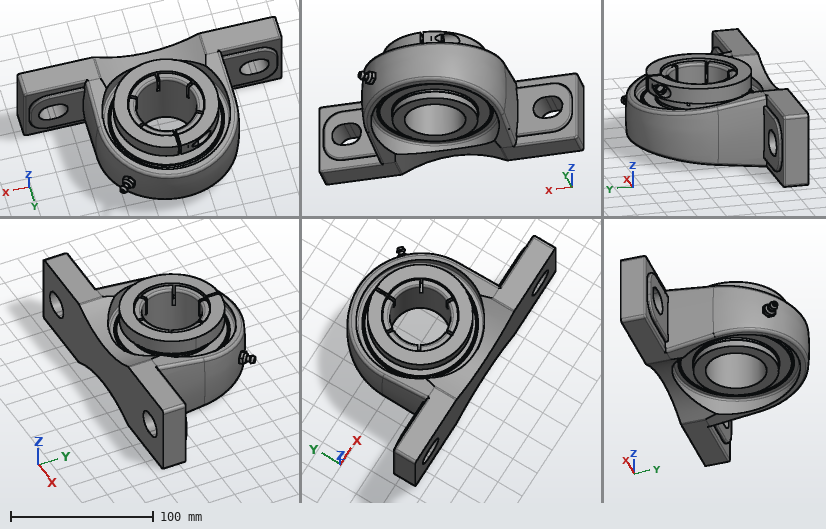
import cadquery as cq
import math


base_length = 188.0
base_width = 53.4
base_height = 18.2
shaft_height = 54.0
base_corner_radius = 2.3
base_rim_fillet = 1.3
pad_length = 180.5
pad_width = 39.1
pad_height = 2.3
pad_corner_radius = 14.3
pad_rim_fillet = 1.1
slot_length = 21.0
slot_width = 17.1
slot_spacing = 146.3
scoop_width = 76.7
scoop_depth = 9.8
scoop_edge_fillet = 2.3

head_radius = 51.5
head_crown_radius = 139.1
head_top_width = 29.5
head_rim_fillet = 2.5
counterbore_radius = 45.03
counterbore_fillet = 1.22
seat_half_width = 11.7

sphere_radius = 42.5
outer_ring_half_width = 12.6
outer_ring_face_radius = 39.9
outer_ring_bore_radius = 39.01
race_land_radius = 30.55
race_land_half_width = 13.5
seal_thickness = 1.9
seal_recess = 0.8
shoulder_radius = 29.99
inner_ring_bottom = -18.6
inner_ring_top = 30.0
shaft_bore_radius = 21.5
shaft_bore_fillet = 1.7
sleeve_radius = 26.5
sleeve_slot_count = 6
sleeve_slot_width = 1.9
sleeve_slot_bottom = 16.2
sleeve_slot_reach = 29.1

collar_bottom = 20.7
collar_top = 31.8
collar_radius = 37.0
collar_bore_radius = 27.0
collar_slit_width = 1.9
screw_y = 31.5
screw_head_diameter = 8.5
screw_head_start = -14.0
screw_head_length = 7.3
screw_shank_diameter = 4.1
screw_shank_length = 17.0
screw_socket_diameter = 5.8
screw_socket_depth = 2.8

fitting_angle = 45.0
fitting_root = 47.0
fitting_hex_start = 51.0
fitting_hex_end = 53.8
fitting_cone_end = 55.6
fitting_neck_end = 58.0
fitting_head_widest = 59.0
fitting_tip = 61.3
fitting_stem_diameter = 6.0
fitting_hex_flats = 8.5
fitting_neck_diameter = 4.1
fitting_head_diameter = 6.0
fitting_tip_diameter = 4.1
fitting_hole_diameter = 2.0
fitting_hole_depth = 1.9

mount_y = -shaft_height
base_top_y = mount_y + base_height
base_half_width = base_width / 2
seat_mouth_radius = math.sqrt(sphere_radius**2 - seat_half_width**2)
screw_z = (collar_bottom + collar_top) / 2


def turned(outline):
    """Solid of revolution about Z from a closed outline in (radius, z)."""
    return outline.close().revolve(360, (0, 0, 0), (0, 1, 0))


def tube(outer_radius, inner_radius, bottom, top):
    ring = cq.Workplane("XY", origin=(0, 0, bottom)).circle(outer_radius)
    return ring.circle(inner_radius).extrude(top - bottom)


def rod_x(diameter, start, length):
    """Cylinder on the clamp screw axis, running along +X."""
    return cq.Workplane("YZ", origin=(start, screw_y, screw_z)).circle(diameter / 2).extrude(length)


def upright_block(length, width, bottom_y, height, corner_radius, rim_fillet):
    """Rounded block standing on a plane of constant Y, with its top rim filleted."""
    block = cq.Workplane("XZ", origin=(0, bottom_y, 0)).rect(length, width).extrude(-height)
    block = block.edges("|Y").fillet(corner_radius)
    return block.faces(">Y").edges().fillet(rim_fillet)


def housing_head():
    """Dome and side walls with one crowned profile, narrowed by a wedge toward the top."""
    crown_drop = head_crown_radius - math.sqrt(head_crown_radius**2 - base_half_width**2)
    rim_radius = head_radius - crown_drop

    half_profile = (
        cq.Workplane("XZ")
        .moveTo(0, -base_half_width)
        .lineTo(rim_radius, -base_half_width)
        .threePointArc((head_radius, 0), (rim_radius, base_half_width))
        .lineTo(0, base_half_width)
    )
    dome = turned(half_profile)
    walls = (
        cq.Workplane("XZ")
        .moveTo(-rim_radius, -base_half_width)
        .lineTo(rim_radius, -base_half_width)
        .threePointArc((head_radius, 0), (rim_radius, base_half_width))
        .lineTo(-rim_radius, base_half_width)
        .threePointArc((-head_radius, 0), (-rim_radius, -base_half_width))
        .close()
        .extrude(shaft_height)
    )
    wedge = (
        cq.Workplane("YZ")
        .moveTo(mount_y, -base_half_width)
        .lineTo(base_top_y, -base_half_width)
        .lineTo(head_radius, -head_top_width / 2)
        .lineTo(head_radius, head_top_width / 2)
        .lineTo(base_top_y, base_half_width)
        .lineTo(mount_y, base_half_width)
        .close()
        .extrude(head_radius, both=True)
    )
    head = dome.union(walls).intersect(wedge)
    for side in (-1, 1):
        above_base = cq.selectors.BoxSelector(
            (-head_radius, base_top_y + head_rim_fillet, 0),
            (head_radius, head_radius + head_rim_fillet, side * base_half_width),
        )
        head = head.edges(above_base).edges("not(|X)").fillet(head_rim_fillet)
    return head


def scoop(side):
    """Concave cut across the middle of one long side of the base."""
    radius = ((scoop_width / 2) ** 2 + scoop_depth**2) / (2 * scoop_depth)
    centre_z = side * (base_half_width - scoop_depth + radius)
    cutter = cq.Workplane("XZ", origin=(0, mount_y, 0)).center(0, centre_z).circle(radius)
    return cutter.extrude(-(shaft_height + head_radius))


def round_scoop_ends(body):
    """Ease the corners where the scoops run into the long sides of the base."""
    for x in (-scoop_width / 2, scoop_width / 2):
        for z in (-base_half_width, base_half_width):
            nearest = cq.selectors.NearestToPointSelector((x, mount_y + base_height / 2, z))
            body = body.edges("|Y").edges(nearest).fillet(scoop_edge_fillet)
    return body


def bearing_seat():
    """Spherical seat between two counterbores with rounded floor corners."""
    seat = cq.Workplane("XY").sphere(sphere_radius)
    mouth_height = base_half_width - seat_half_width
    for side in (-1, 1):
        mouth = (
            cq.Workplane("XY", origin=(0, 0, side * seat_half_width))
            .circle(counterbore_radius)
            .extrude(side * mouth_height)
        )
        floor = "<Z" if side > 0 else ">Z"
        seat = seat.union(mouth.faces(floor).edges().fillet(counterbore_fillet))
    return seat


def make_housing(fitting):
    base = upright_block(
        base_length, base_width, mount_y, base_height, base_corner_radius, base_rim_fillet
    )
    pads = upright_block(
        pad_length, pad_width, base_top_y, pad_height, pad_corner_radius, pad_rim_fillet
    )
    body = housing_head().union(base).union(pads)
    for side in (-1, 1):
        body = body.cut(scoop(side))
    body = round_scoop_ends(body)
    bolt_slots = (
        cq.Workplane("XZ", origin=(0, mount_y, 0))
        .pushPoints([(-slot_spacing / 2, 0), (slot_spacing / 2, 0)])
        .slot2D(slot_length, slot_width)
        .extrude(-(base_height + pad_height))
    )
    return body.cut(bolt_slots).cut(bearing_seat()).cut(fitting)


def make_outer_ring():
    outline = (
        cq.Workplane("XZ")
        .moveTo(outer_ring_bore_radius, -outer_ring_half_width)
        .lineTo(outer_ring_face_radius, -outer_ring_half_width)
        .lineTo(seat_mouth_radius, -seat_half_width)
        .threePointArc((sphere_radius, 0), (seat_mouth_radius, seat_half_width))
        .lineTo(outer_ring_face_radius, outer_ring_half_width)
        .lineTo(outer_ring_bore_radius, outer_ring_half_width)
    )
    return turned(outline)


def make_seal(side):
    outer_face = outer_ring_half_width - seal_recess
    inner_face = outer_face - seal_thickness
    return tube(outer_ring_bore_radius, race_land_radius, side * inner_face, side * outer_face)


def make_inner_ring():
    """Race with a slotted sleeve that the collar squeezes onto the shaft."""
    land = tube(race_land_radius, shaft_bore_radius, -race_land_half_width, race_land_half_width)
    race = tube(shoulder_radius, shaft_bore_radius, inner_ring_bottom, collar_bottom)
    sleeve = tube(sleeve_radius, shaft_bore_radius, collar_bottom, inner_ring_top)
    bore_rim = cq.selectors.RadiusNthSelector(0)
    sleeve = sleeve.faces(">Z").edges(bore_rim).fillet(shaft_bore_fillet)
    ring = race.union(land).union(sleeve)
    slot_depth = inner_ring_top - sleeve_slot_bottom
    slot = cq.Workplane("XY", origin=(0, 0, sleeve_slot_bottom)).box(
        sleeve_slot_reach, sleeve_slot_width, slot_depth, centered=(False, True, False)
    )
    for index in range(sleeve_slot_count):
        angle = 90 + index * 360 / sleeve_slot_count
        ring = ring.cut(slot.rotate((0, 0, 0), (0, 0, 1), angle))
    return ring


def screw_envelope():
    head = rod_x(screw_head_diameter, screw_head_start, screw_head_length)
    shank = rod_x(
        screw_shank_diameter, screw_head_start + screw_head_length, screw_shank_length
    )
    return head.union(shank)


def make_clamp_screw():
    socket = rod_x(screw_socket_diameter, screw_head_start, screw_socket_depth)
    return screw_envelope().cut(socket)


def make_collar():
    ring = tube(collar_radius, collar_bore_radius, collar_bottom, collar_top)
    slit = cq.Workplane("XY").box(
        collar_slit_width, collar_radius, collar_top, centered=(True, False, False)
    )
    pocket = rod_x(screw_head_diameter, -collar_radius, collar_radius + screw_head_start)
    return ring.cut(slit).cut(pocket).cut(screw_envelope())


def make_grease_fitting():
    """Built along +X, then swung to its place on the dome."""
    stem_radius = fitting_stem_diameter / 2
    neck_radius = fitting_neck_diameter / 2
    turned_parts = (
        cq.Workplane("XY")
        .moveTo(fitting_root, 0)
        .lineTo(fitting_root, stem_radius)
        .lineTo(fitting_hex_end, stem_radius)
        .lineTo(fitting_hex_end, fitting_hex_flats / 2)
        .lineTo(fitting_cone_end, stem_radius)
        .lineTo(fitting_cone_end, neck_radius)
        .lineTo(fitting_neck_end, neck_radius)
        .lineTo(fitting_head_widest, fitting_head_diameter / 2)
        .lineTo(fitting_tip, fitting_tip_diameter / 2)
        .lineTo(fitting_tip, 0)
        .close()
        .revolve(360, (0, 0, 0), (1, 0, 0))
    )
    hexagon = (
        cq.Workplane("YZ", origin=(fitting_hex_start, 0, 0))
        .polygon(6, fitting_hex_flats, circumscribed=True)
        .extrude(fitting_hex_end - fitting_hex_start)
    )
    hole = (
        cq.Workplane("YZ", origin=(fitting_tip, 0, 0))
        .circle(fitting_hole_diameter / 2)
        .extrude(-fitting_hole_depth)
    )
    fitting = turned_parts.union(hexagon).cut(hole)
    return fitting.rotate((0, 0, 0), (0, 0, 1), fitting_angle)


grease_fitting = make_grease_fitting()
housing = make_housing(grease_fitting)
outer_ring = make_outer_ring()
inner_ring = make_inner_ring()
seals = [make_seal(side) for side in (-1, 1)]
collar = make_collar()
clamp_screw = make_clamp_screw()

result = cq.Compound.makeCompound(
    [
        housing.val(),
        outer_ring.val(),
        inner_ring.val(),
        *[seal.val() for seal in seals],
        collar.val(),
        clamp_screw.val(),
        grease_fitting.val(),
    ]
)